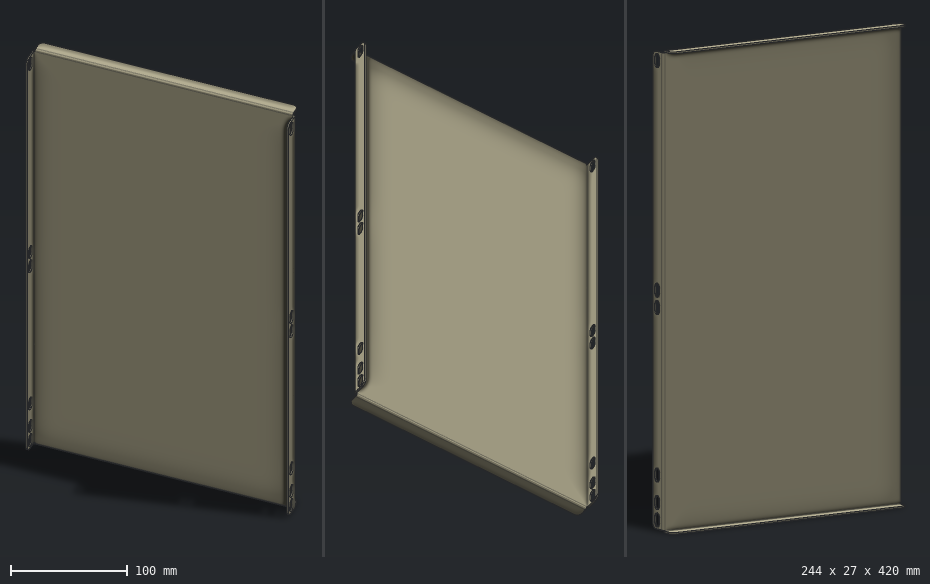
import cadquery as cq

width = 244.0
height = 420.0
wall_depth = 16.0
flange_depth = 11.0

thickness = 1.5
inner_radius = 0.5
outer_radius = inner_radius + thickness

panel_width = width - 2 * outer_radius
panel_height = height - 2 * outer_radius
corner_radius = 5.0

slot_length = 12.0
slot_width = 7.0
slot_edge_distance = 6.7
slot_pitch = 15.0
end_slot_z = 200.0
extra_slot_z = -161.0
slot_heights = [
    end_slot_z,
    0,
    -slot_pitch,
    extra_slot_z,
    -end_slot_z + slot_pitch,
    -end_slot_z,
]


def folded_strip(half_span, depth, length):
    """Bend and leg along +X of a panel, folded toward +Y and extruded along Z.

    The panel's outer face is at Y = 0, and the leg ends at Y = depth.
    """
    bend_start = half_span - outer_radius
    diagonal = 0.5 ** 0.5
    strip = (
        cq.Workplane("XY")
        .moveTo(bend_start, 0)
        .threePointArc(
            (bend_start + outer_radius * diagonal, outer_radius * (1 - diagonal)),
            (half_span, outer_radius),
        )
        .lineTo(half_span, depth)
        .lineTo(half_span - thickness, depth)
        .lineTo(half_span - thickness, outer_radius)
        .threePointArc(
            (bend_start + inner_radius * diagonal, outer_radius - inner_radius * diagonal),
            (bend_start, thickness),
        )
        .close()
        .extrude(length / 2, both=True)
    )
    return strip.faces(">Y").edges("|X").fillet(corner_radius)


def make_side_wall():
    """Wall on the +X side, folded forward and pierced by the slots."""
    wall = folded_strip(width / 2, wall_depth, panel_height).mirror("XZ")
    slot_y = slot_edge_distance - wall_depth
    slots = (
        cq.Workplane("YZ")
        .pushPoints([(slot_y, z) for z in slot_heights])
        .slot2D(slot_length, slot_width, 90)
        .extrude(width)
    )
    return wall.cut(slots)


def make_end_flange():
    """Flange on the +Z end, folded backward."""
    flange = folded_strip(height / 2, flange_depth + thickness, panel_width)
    upright = flange.rotate((0, 0, 0), (0, 1, 0), -90)
    return upright.translate((0, -thickness, 0))


panel = cq.Workplane("XY").box(panel_width, thickness, panel_height).translate((0, -thickness / 2, 0))
side_wall = make_side_wall()
end_flange = make_end_flange()

result = (
    panel.union(side_wall)
    .union(side_wall.mirror("YZ"))
    .union(end_flange)
    .union(end_flange.mirror("XY"))
)